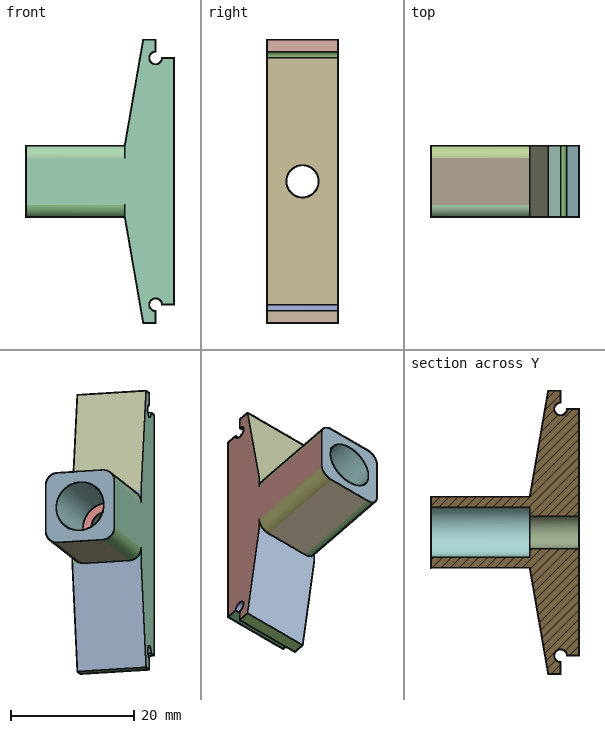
import cadquery as cq

width = 11.6
height = 46.0
total_length = 24.0
plate_thickness = 8.0
taper_depth = 3.0
step = 3.0
groove_radius = 1.0
corner_radius = 2.0
bore_diameter = 8.0
hole_diameter = 5.2

plate_back = total_length - plate_thickness
step_x = total_length - step
half_height = height / 2
step_z = half_height - step


def make_plate():
    """Plate with tapered back, notched ends and round grooves along Y."""
    outline = [
        (plate_back, -width / 2),
        (plate_back + taper_depth, -half_height),
        (step_x, -half_height),
        (step_x, -step_z),
        (total_length, -step_z),
        (total_length, step_z),
        (step_x, step_z),
        (step_x, half_height),
        (plate_back + taper_depth, half_height),
        (plate_back, width / 2),
    ]
    side_plane = cq.Workplane("XZ", origin=(0, width / 2, 0))
    plate = side_plane.polyline(outline).close().extrude(width)
    grooves = (
        side_plane
        .pushPoints([(step_x, -step_z), (step_x, step_z)])
        .circle(groove_radius)
        .extrude(width)
    )
    return plate.cut(grooves)


def make_post():
    """Square post along X with rounded long edges."""
    return cq.Workplane("YZ").rect(width, width).extrude(plate_back).edges("|X").fillet(corner_radius)


def make_bore():
    """Wide bore along the post, followed by a narrow hole through the plate."""
    wide = cq.Workplane("YZ").circle(bore_diameter / 2).extrude(plate_back)
    narrow = cq.Workplane("YZ").circle(hole_diameter / 2).extrude(total_length)
    return wide.union(narrow)


result = make_plate().union(make_post()).cut(make_bore())